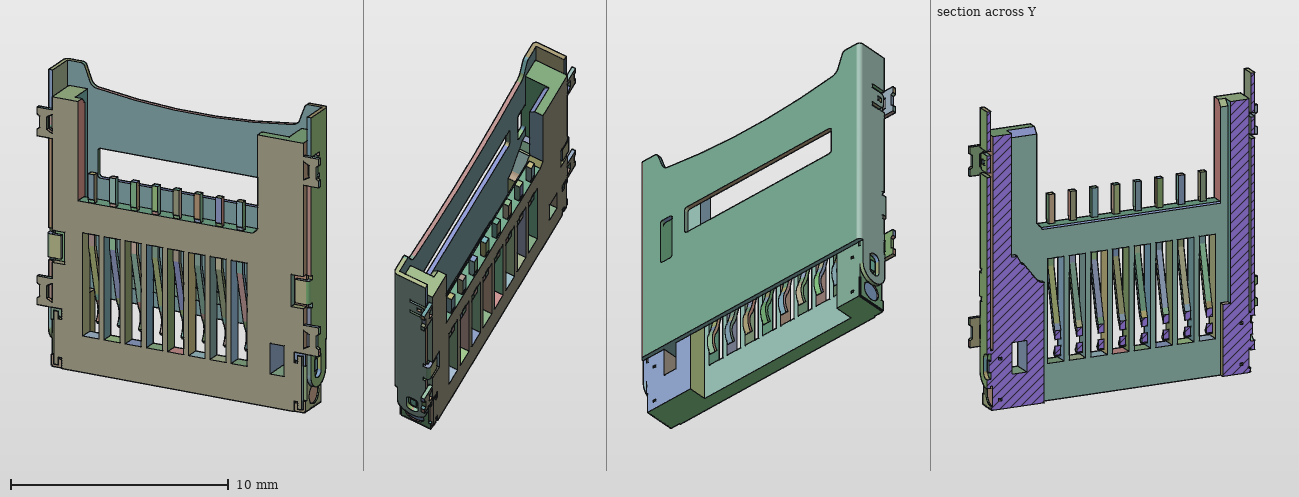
import cadquery as cq
OVERLAP = 0.15

shell_half_width = 6.8
shell_wall = 0.2
shell_inner = shell_half_width - shell_wall
shell_top = 14.5
shell_back = 1.9
cover_thickness = 0.22
cover_inside = shell_back - cover_thickness
cover_bottom = 3.14
shell_bend_radius = 0.2
side_front = 0.22

body_half_width = 6.51
body_top = 13.27
base_half_width = shell_inner
base_top = 2.92
card_floor = 0.7

contact_count = 8
first_contact_x = -4.5
last_contact_x = 3.2
contact_pitch = (last_contact_x - first_contact_x) / (contact_count - 1)
contact_width = 0.3
slot_width = 0.83
slot_offset = -0.01
slot_bottom = 1.8
slot_top = 6.86

opening_left = -5.18
opening_right = 4.15
opening_bottom = 8.4
opening_corner = 0.26

foot_bottoms = (base_top, 11.21)
foot_height = 1.42
foot_thickness = 0.19
foot_reach = 7.3


def block(x_min, x_max, y_min, y_max, z_min, z_max):
    size = (x_max - x_min, y_max - y_min, z_max - z_min)
    return cq.Workplane("XY").box(*size, centered=False).translate((x_min, y_min, z_min))


def front_outline(points, y_min, y_max):
    """Outline of (x, z) points extruded from y_min to y_max."""
    plate = cq.Workplane("XZ").polyline(points).close().extrude(y_min - y_max)
    return plate.translate((0, y_min, 0))


def side_outline(points, x_min, x_max):
    """Outline of (y, z) points extruded from x_min to x_max."""
    return cq.Workplane("YZ").polyline(points).close().extrude(x_max - x_min).translate((x_min, 0, 0))


def both_sides(right_part):
    return right_part.union(right_part.mirror("YZ"))


def shell_cover():
    """Folded sheet with two side walls and a curved finger notch in its top edge."""
    shoulder_x = 5.75
    notch_x = 5.35
    notch_z = 13.42
    notch_middle_z = 13.0
    shoulder_radius = 0.22
    notch_radius = 0.44
    sheet = block(-shell_half_width, shell_half_width, 0, shell_back, cover_bottom, shell_top)
    sheet = sheet.edges("|Z and >Y").fillet(shell_bend_radius)
    sheet = sheet.cut(block(-shell_inner, shell_inner, -OVERLAP, cover_inside, 0, shell_top + OVERLAP))
    sheet = sheet.cut(block(-foot_reach, foot_reach, -OVERLAP, side_front, 0, shell_top + OVERLAP))
    notch = (
        cq.Workplane("XZ")
        .moveTo(-shoulder_x, shell_top)
        .lineTo(-notch_x, notch_z)
        .threePointArc((0, notch_middle_z), (notch_x, notch_z))
        .lineTo(shoulder_x, shell_top)
        .close()
        .extrude(-shell_back - OVERLAP)
    )
    notch = notch.edges("|Y").edges("<Z").fillet(notch_radius)
    sheet = sheet.cut(notch)
    for side in (-1, 1):
        corner = cq.selectors.NearestToPointSelector((side * shoulder_x, cover_inside, shell_top))
        sheet = sheet.edges("|Y").edges(corner).fillet(shoulder_radius)
    return sheet


def cover_openings():
    """Wide window behind the solder tails and a smaller one near the right side."""
    y_min = cover_inside - OVERLAP
    y_max = shell_back + OVERLAP
    window_top = 10.45
    wide_left = -5.02
    wide_right = 4.05
    wide_bottom = 9.0
    small_left = 4.82
    small_right = 5.55
    small_bottom = 8.03
    corner_radius = 0.15
    wide = block(wide_left, wide_right, y_min, y_max, wide_bottom, window_top)
    small = block(small_left, small_right, y_min, y_max, small_bottom, window_top)
    return wide.union(small).edges("|Y").fillet(corner_radius)


def cover_rib():
    """Low rib on the inside of the cover."""
    left = -3.78
    right = 2.16
    bottom = 3.9
    top = 4.5
    height = 0.09
    return block(left, right, cover_inside - height, cover_inside, bottom, top)


def side_tail():
    """Rounded lower end of the right shell wall, below the cover."""
    tail_front = 0.19
    radius = (cover_inside - tail_front) / 2
    centre_y = (cover_inside + tail_front) / 2
    centre_z = 1.82
    return (
        cq.Workplane("YZ")
        .moveTo(tail_front, cover_bottom)
        .lineTo(tail_front, centre_z)
        .threePointArc((centre_y, centre_z - radius), (cover_inside, centre_z))
        .lineTo(cover_inside, cover_bottom)
        .close()
        .extrude(shell_wall)
        .translate((shell_inner, 0, 0))
    )


def tongue_slot():
    """U-shaped slit around a spring tongue in the right shell wall, with the tongue's square hole."""
    slit_back = 1.04
    slit_bottom = 11.33
    slit_top = 12.55
    slit_width = 0.19
    tongue_front = 0.28
    tongue_radius = 0.22
    hole_front = 0.44
    hole_bottom = 11.83
    hole_size = 0.23
    x_min = body_half_width
    x_max = shell_half_width + OVERLAP
    tongue_bottom = slit_bottom + slit_width
    tongue_top = slit_top - slit_width
    slit = block(x_min, x_max, 0, slit_back, slit_bottom, slit_top)
    tongue = block(x_min, x_max, tongue_front, slit_back, tongue_bottom, tongue_top)
    tongue = tongue.edges("|X and <Y").fillet(tongue_radius)
    hole = block(x_min, x_max, hole_front, hole_front + hole_size, hole_bottom, hole_bottom + hole_size)
    return slit.cut(tongue).union(hole)


def latch_window():
    """Long round-ended hole in the right shell wall."""
    front = 0.6
    back = 1.21
    bottom = 1.53
    top = 2.75
    end_radius = 0.28
    window = block(shell_inner, shell_half_width + OVERLAP, front, back, bottom, top)
    return window.edges("|X").fillet(end_radius)


def latch_boss():
    """Catch on the right side of the body, standing in the latch window."""
    front = 0.76
    back = 1.05
    bottom = 1.84
    top = 2.41
    height = 0.1
    return block(shell_inner - OVERLAP, shell_inner + height, front, back, bottom, top)


tab_bottom = 5.36
tab_top = 6.51
tab_recess_bottom = 5.14
tab_recess_top = 6.72
tab_recess_inner = 5.87
tab_recess_depth = 0.34


def tab_recess():
    """Pocket in the body and reliefs in the right shell wall around the folded tab."""
    outer = shell_half_width + OVERLAP
    return block(tab_recess_inner, outer, -OVERLAP, tab_recess_depth, tab_recess_bottom, tab_recess_top)


def folded_tab():
    """Right-hand tab bent from the shell wall into the recess in the body."""
    tab_front = 0.01
    tab_inner = 6.07
    tab_thickness = 0.18
    bend_radius = 0.16
    tab_back = tab_front + tab_thickness
    flat = block(tab_inner, shell_half_width, tab_front, tab_back, tab_bottom, tab_top)
    wall = block(shell_inner, shell_half_width, tab_front, tab_recess_depth, tab_bottom, tab_top)
    return flat.union(wall).edges("|Z and >X and <Y").fillet(bend_radius)


def foot(z_min):
    """Right-hand foot with a notched end and a tapered window."""
    notch_depth = 0.13
    notch_x = foot_reach - notch_depth
    z_max = z_min + foot_height
    end_height = 0.34
    ramp = 0.09
    outline = [
        (body_half_width - OVERLAP, z_min),
        (foot_reach, z_min),
        (foot_reach, z_min + end_height),
        (notch_x, z_min + end_height + ramp),
        (notch_x, z_max - end_height - ramp),
        (foot_reach, z_max - end_height),
        (foot_reach, z_max),
        (body_half_width - OVERLAP, z_max),
    ]
    wide_margin = 0.25
    narrow_margin = 0.41
    window = [
        (body_half_width, z_min + wide_margin),
        (shell_half_width, z_min + narrow_margin),
        (shell_half_width, z_max - narrow_margin),
        (body_half_width, z_max - wide_margin),
    ]
    plate = front_outline(outline, 0, foot_thickness)
    return plate.cut(front_outline(window, -OVERLAP, foot_thickness + OVERLAP))


def card_cavity():
    """Card-shaped space, open at both ends, stepped along its sides."""
    entry_half_width = 5.55
    entry_z = body_top + OVERLAP
    left_step_z = 3.5
    right_step_z = 7.3
    left_wall = -5.17
    right_wall = 3.88
    ledge_z = 6.86
    cavity = (
        cq.Workplane("XZ")
        .moveTo(-entry_half_width, entry_z)
        .lineTo(-entry_half_width, left_step_z)
        .lineTo(left_wall, left_step_z)
        .lineTo(left_wall, -OVERLAP)
        .lineTo(right_wall, -OVERLAP)
        .lineTo(right_wall, 5.84)
        .threePointArc((4.07, 5.88), (4.23, 6.0))
        .lineTo(4.9, ledge_z)
        .lineTo(5.01, ledge_z)
        .lineTo(5.25, right_step_z)
        .lineTo(entry_half_width, right_step_z)
        .lineTo(entry_half_width, entry_z)
        .close()
        .extrude(card_floor - cover_inside - OVERLAP)
        .translate((0, card_floor, 0))
    )
    lead_in_front = 0.44
    lead_in_depth = 0.29
    lead_in = side_outline(
        [
            (lead_in_front, body_top),
            (card_floor, body_top - lead_in_depth),
            (card_floor + OVERLAP, body_top),
        ],
        -entry_half_width,
        entry_half_width,
    )
    return cavity.union(lead_in)


def body_opening():
    """Cut-out in the mounting face between the card entry and the contact bar."""
    back = card_floor + OVERLAP
    cut = block(opening_left, opening_right, -OVERLAP, back, opening_bottom, body_top + OVERLAP)
    return cut.edges("|Y and >X and <Z").chamfer(opening_corner)


def contact_bar_chamfer():
    """Bevel along the top inner edge of the contact bar."""
    chamfer = 0.07
    return side_outline(
        [
            (card_floor - chamfer, opening_bottom),
            (card_floor, opening_bottom - chamfer),
            (card_floor, opening_bottom),
        ],
        opening_left,
        opening_right - opening_corner,
    )


def clip_recess():
    """C-shaped recess in the right lower corner of the mounting face, with a narrow groove behind it."""
    frame_depth = 0.06
    middle_depth = 0.18
    hook_inner = 6.03
    hook_outer = 6.2
    island_edge = 6.42
    rail = 0.15
    upper_hook = 2.41
    lower_hook = 0.53
    groove_width = 0.05
    hole_height = 0.1
    hole_margin = 0.01
    middle_bottom = 0.58
    middle_top = 2.3
    outer = base_half_width + OVERLAP
    frame = block(hook_inner, outer, -OVERLAP, frame_depth, 0, base_top)
    frame = frame.cut(block(hook_inner, hook_outer, -OVERLAP, frame_depth, lower_hook, upper_hook))
    frame = frame.cut(block(hook_outer, island_edge, -OVERLAP, frame_depth, rail, base_top - rail))
    groove = block(island_edge, island_edge + groove_width, -OVERLAP, middle_depth, rail, base_top - rail)
    middle = block(island_edge, outer, -OVERLAP, middle_depth, middle_bottom, middle_top)
    recess = frame.union(groove).union(middle)
    for z_min in (upper_hook, lower_hook - hole_height):
        left = hook_inner + hole_margin
        right = hook_outer - hole_margin
        hole = block(left, right, -OVERLAP, shell_back, z_min, z_min + hole_height)
        recess = recess.union(hole)
    return recess


def base_edge_step():
    """Shallow step along the bottom and cover-side edges of the right base wall."""
    step = 0.06
    back_step_start = 1.59
    back_step_top = 1.1
    outer = base_half_width + OVERLAP
    inner = base_half_width - step
    bottom = block(inner, outer, -OVERLAP, shell_back, -OVERLAP, step)
    back = block(inner, outer, back_step_start, shell_back, -OVERLAP, back_step_top)
    return bottom.union(back)


def ejector_mark():
    """Shallow round recess low on the right side wall."""
    depth = 0.07
    centre_y = 0.89
    centre_z = 0.7
    radius = 0.48
    disc = cq.Workplane("YZ").center(centre_y, centre_z).circle(radius).extrude(depth + OVERLAP)
    return disc.translate((base_half_width - depth, 0, 0))


def contact_slots():
    """Row of slots that let the contact springs flex."""
    slots = cq.Workplane("XY")
    for i in range(contact_count):
        centre = first_contact_x + slot_offset + i * contact_pitch
        left = centre - slot_width / 2
        slot = block(left, left + slot_width, -OVERLAP, card_floor + OVERLAP, slot_bottom, slot_top)
        slots = slots.union(slot)
    return slots


def inspection_hole():
    """Rectangular hole through the body just below the cover."""
    left = 4.79
    right = 5.5
    bottom = 1.64
    return block(left, right, -OVERLAP, shell_back, bottom, cover_bottom)


def body():
    """Moulding with the card cavity and all its openings and side recesses."""
    upper = block(-body_half_width, body_half_width, 0, cover_inside, base_top, body_top)
    base = block(-base_half_width, base_half_width, 0, cover_inside, 0, base_top)
    moulding = upper.union(base)
    moulding = moulding.cut(card_cavity()).cut(body_opening()).cut(contact_bar_chamfer())
    moulding = moulding.cut(contact_slots()).cut(inspection_hole())
    for side_cut in (clip_recess(), base_edge_step(), ejector_mark(), tab_recess()):
        moulding = moulding.cut(both_sides(side_cut))
    return moulding


def contact(centre_x):
    """Bent spring strip below the contact bar and a straight solder tail above it."""
    left = centre_x - contact_width / 2
    right = centre_x + contact_width / 2
    strip_front = 0.03
    strip_back = 0.2
    strip_top = slot_top + OVERLAP
    spring = (
        cq.Workplane("YZ")
        .moveTo(strip_front, strip_top)
        .lineTo(strip_front, 6.28)
        .lineTo(0.67, 3.68)
        .lineTo(0.79, 3.36)
        .threePointArc((0.96, 2.83), (0.79, 2.3))
        .lineTo(0.92, 2.16)
        .threePointArc((1.11, 2.77), (0.96, 3.39))
        .lineTo(0.85, 3.71)
        .lineTo(strip_back, 6.3)
        .lineTo(strip_back, strip_top)
        .close()
        .extrude(contact_width)
        .translate((left, 0, 0))
    )
    tail_front = 0.01
    tail_back = 0.29
    tail_top = 9.81
    root_front = 0.06
    root_top = 8.55
    tail = block(left, right, tail_front, tail_back, root_top, tail_top)
    root = block(left, right, root_front, tail_back, opening_bottom - OVERLAP, root_top)
    return spring.union(tail).union(root)


shell = shell_cover().cut(cover_openings()).union(cover_rib())
shell = shell.union(both_sides(side_tail()))
for wall_cut in (tongue_slot(), latch_window(), tab_recess()):
    shell = shell.cut(both_sides(wall_cut))

result = body().union(shell)
for z_bottom in foot_bottoms:
    result = result.union(both_sides(foot(z_bottom)))
for side_feature in (folded_tab(), latch_boss()):
    result = result.union(both_sides(side_feature))
for index in range(contact_count):
    result = result.union(contact(first_contact_x + index * contact_pitch))